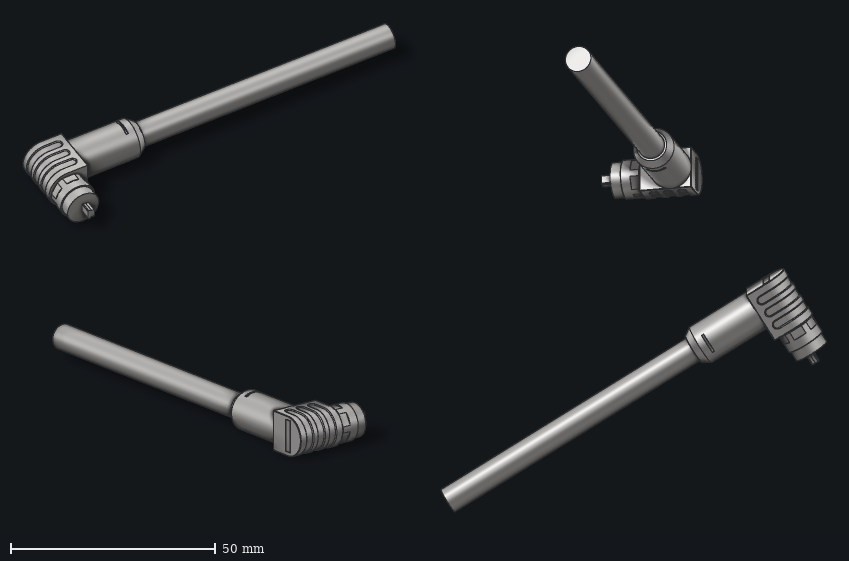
import cadquery as cq

CABLE_DIAMETER = 6.5
CABLE_END_Y = 95.15
BOOT_DIAMETER = 10.3
BOOT_RADIUS = BOOT_DIAMETER / 2
BOOT_SHOULDER_Y = 22.2
BOOT_TIP_Y = 24.2
BOOT_TIP_DIAMETER = 7.6

NOTCH_START_Y = 19.7
NOTCH_WIDTH = 0.6
NOTCH_DEPTH = 0.65

HEAD_RADIUS = BOOT_RADIUS
HEAD_START_X = -BOOT_RADIUS
HEAD_LENGTH = 13.1
HEAD_END_X = HEAD_START_X + HEAD_LENGTH
HEAD_BACK_Y = 5.8
HEAD_CHAMFER = 0.15

BOOT_START_Y = HEAD_BACK_Y - HEAD_CHAMFER

GRIP_COUNT = 3
GRIP_PITCH = 3.55
GRIP_WIDTH = 2.3
GRIP_DEPTH = 0.25
GRIP_DRAFT = 0.25
GRIP_END_Y = 4.3

RECESS_WIDTH = 1.7
RECESS_HEIGHT = 8.2
RECESS_DEPTH = 0.2

NECK_DIAMETER = 6.5
COLLAR_DIAMETER = 9.6
COLLAR_START_X = 8.4
FLATS_END_X = 10.6
COLLAR_END_X = 13.05
FLAT_COUNT = 6
ACROSS_FLATS = 9.0
RING_DIAMETER = 8.8
RING_END_X = 15.75

TONGUE_END_X = 18.65
TONGUE_BASE_Y = -0.3
TONGUE_STEP_Y = 0.7
TONGUE_TOP_Y = 1.6
TONGUE_HALF_BASE = 1.4
TONGUE_HALF_TOP = 1.1
TONGUE_CHAMFER = 0.2

OVERLAP = 1.0


def rod_x(diameter, start, end):
    """Cylinder about the X axis between two X positions."""
    return cq.Workplane("YZ", origin=(start, 0, 0)).circle(diameter / 2).extrude(end - start)


def make_cable_and_boot():
    """Cable and tapered boot as one turned profile, with the two notches cut."""
    body = (
        cq.Workplane("XY")
        .moveTo(0, BOOT_START_Y)
        .lineTo(BOOT_RADIUS, BOOT_START_Y)
        .lineTo(BOOT_RADIUS, BOOT_SHOULDER_Y)
        .lineTo(BOOT_TIP_DIAMETER / 2, BOOT_TIP_Y)
        .lineTo(CABLE_DIAMETER / 2, BOOT_TIP_Y)
        .lineTo(CABLE_DIAMETER / 2, CABLE_END_Y)
        .lineTo(0, CABLE_END_Y)
        .close()
        .revolve(360, (0, 0, 0), (0, 1, 0))
    )
    notch = cq.Workplane("XY").box(BOOT_DIAMETER, NOTCH_WIDTH, 2 * NOTCH_DEPTH)
    for side in (1, -1):
        center = (0, NOTCH_START_Y + NOTCH_WIDTH / 2, side * BOOT_RADIUS)
        body = body.cut(notch.translate(center))
    return body


def make_grip_groove(center_x):
    """Drafted groove: straight runs on top and bottom with round ends, joined around the front."""
    half_width = GRIP_WIDTH / 2
    floor_half_width = half_width - GRIP_DRAFT
    floor_radius = HEAD_RADIUS - GRIP_DEPTH
    arc_y = GRIP_END_Y - half_width

    section = [
        (center_x - half_width, HEAD_RADIUS),
        (center_x + half_width, HEAD_RADIUS),
        (center_x + floor_half_width, floor_radius),
        (center_x - floor_half_width, floor_radius),
    ]
    wrap = cq.Workplane("XZ").polyline(section).close().revolve(180, (0, 0, 0), (1, 0, 0))
    run = cq.Workplane("XZ").polyline(section).close().extrude(-arc_y)
    round_end = cq.Workplane(
        cq.Solid.makeCone(floor_half_width, half_width, GRIP_DEPTH, cq.Vector(center_x, arc_y, floor_radius))
    )
    upper = run.union(round_end)
    return wrap.union(upper).union(upper.mirror("XY"))


def make_head():
    """Head block with its rear and closed end face chamfered, grip grooves and the end recess."""
    head = (
        cq.Workplane("YZ", origin=(HEAD_START_X, 0, 0))
        .moveTo(0, HEAD_RADIUS)
        .lineTo(HEAD_BACK_Y, HEAD_RADIUS)
        .lineTo(HEAD_BACK_Y, -HEAD_RADIUS)
        .lineTo(0, -HEAD_RADIUS)
        .threePointArc((-HEAD_RADIUS, 0), (0, HEAD_RADIUS))
        .close()
        .extrude(HEAD_LENGTH)
        .faces(">Y or <X")
        .chamfer(HEAD_CHAMFER)
    )
    middle_x = HEAD_START_X + HEAD_LENGTH / 2
    for index in range(GRIP_COUNT):
        offset = (index - (GRIP_COUNT - 1) / 2) * GRIP_PITCH
        head = head.cut(make_grip_groove(middle_x + offset))
    recess = cq.Workplane("XY").box(2 * RECESS_DEPTH, RECESS_WIDTH, RECESS_HEIGHT)
    return head.cut(recess.translate((HEAD_START_X, 0, 0)))


def make_collar():
    """Collar whose rear part carries evenly spaced wrench flats."""
    collar = rod_x(COLLAR_DIAMETER, COLLAR_START_X, COLLAR_END_X)
    flats_length = FLATS_END_X - COLLAR_START_X
    cutter = cq.Workplane("XY").box(
        flats_length, COLLAR_DIAMETER, COLLAR_DIAMETER, centered=(False, True, False)
    ).translate((COLLAR_START_X, 0, ACROSS_FLATS / 2))
    for index in range(FLAT_COUNT):
        angle = index * 360 / FLAT_COUNT
        collar = collar.cut(cutter.rotate((0, 0, 0), (1, 0, 0), angle))
    return collar


def make_tongue():
    """Contact tongue: a wide base tapering up to a narrower straight top."""
    half_outline = [
        (TONGUE_BASE_Y, TONGUE_HALF_BASE - TONGUE_CHAMFER),
        (TONGUE_BASE_Y + TONGUE_CHAMFER, TONGUE_HALF_BASE),
        (TONGUE_STEP_Y, TONGUE_HALF_TOP),
        (TONGUE_TOP_Y - TONGUE_CHAMFER, TONGUE_HALF_TOP),
        (TONGUE_TOP_Y, TONGUE_HALF_TOP - TONGUE_CHAMFER),
    ]
    other_half = [(y, -z) for y, z in reversed(half_outline)]
    start_x = RING_END_X - OVERLAP
    return (
        cq.Workplane("YZ", origin=(start_x, 0, 0))
        .polyline(half_outline + other_half)
        .close()
        .extrude(TONGUE_END_X - start_x)
    )


def make_connector():
    """Neck, collar, front ring and tongue along the X axis."""
    neck = rod_x(NECK_DIAMETER, HEAD_END_X - OVERLAP, COLLAR_START_X + OVERLAP)
    ring = rod_x(RING_DIAMETER, COLLAR_END_X - OVERLAP, RING_END_X)
    return neck.union(make_collar()).union(ring).union(make_tongue())


result = make_cable_and_boot().union(make_head()).union(make_connector())